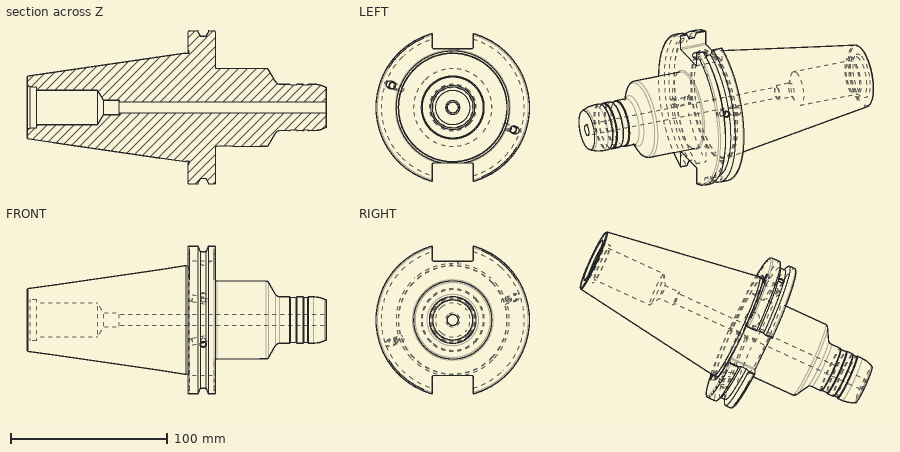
import math

import cadquery as cq


gauge_diameter = 69.85
taper_rate = 7 / 24
shank_length = 101.6
shank_end_chamfer = 0.6
shank_end_radius = (gauge_diameter - taper_rate * shank_length) / 2

relief_diameter = 69.25
recess_diameter = 73.6
recess_corner_radius = 0.6

flange_diameter = 98.425
flange_back = 1.3
flange_front = 19.05
flange_edge_fillet = 1.0
groove_center = 11.15
groove_top_width = 6.9
groove_floor_width = 3.6
groove_depth = 3.5

slot_width = 26.0
upper_slot_height = 37.7
lower_slot_height = 35.6
slot_corner_fillet = 0.7
slot_rim_chamfer = 0.43

dimple_diameter = 9.53
dimple_angle = 118

overall_length = 191.6
nose_end = overall_length - shank_length
body_diameter = 50.0
body_end = nose_end - 37.55
body_root_fillet = 0.8
body_edge_fillet = 2.0
shoulder_angle = 30
nose_root_fillet = 3.0
nose_diameter = 30.0
nose_curve_length = 8.4
nose_curve_end_radius = 13.35
nose_end_chamfer = 1.1
nose_end_radius = 12.75

ring_groove_diameter = 29.0
ring_grooves = [(23.5, 4.6), (14.9, 3.4)]

mouth_diameter = 28.2
mouth_depth = 2.0
counterbore_diameter = 26.2
counterbore_depth = 6.0
thread_bore_diameter = 21.97
thread_bore_depth = 45.0
bore_cone_angle = 118
cone_end_diameter = 9.0
through_diameter = 6.92
cone_end_length = 10.0

coolant_angle = 20
coolant_radius = 42.2
coolant_tilt = 30
coolant_mouth_diameter = 5.0
coolant_mouth_depth = 2.2
coolant_diameter = 4.2
coolant_depth = 14.0
groove_hole_diameter = 3.24
groove_hole_mouth_diameter = 4.13
groove_mouth_clearance = 1.0


def revolved(outline):
    """Turn an outline of (x, radius) points around the X axis."""
    return outline.close().revolve(360, (0, 0, 0), (1, 0, 0))


def circle_edge(part, x, radius):
    """Select the round edge of the given radius at x."""
    margin = 0.1
    low = (x - margin, -radius - margin, -radius - margin)
    high = (x + margin, radius + margin, radius + margin)
    return part.edges(cq.selectors.BoxSelector(low, high, boundingbox=True))


def make_blank():
    """Solid of revolution from the shank end to the nose end."""
    flange_radius = flange_diameter / 2
    nose_radius = nose_diameter / 2
    body_radius = body_diameter / 2
    shoulder_run = (body_radius - nose_radius) * math.tan(math.radians(shoulder_angle))
    recess_floor = flange_back + recess_corner_radius
    recess_radius = recess_diameter / 2
    outline = (
        cq.Workplane("XY")
        .moveTo(-shank_length, 0)
        .lineTo(-shank_length, shank_end_radius - shank_end_chamfer)
        .lineTo(-shank_length + shank_end_chamfer, shank_end_radius + taper_rate / 2 * shank_end_chamfer)
        .lineTo(0, gauge_diameter / 2)
        .lineTo(0, relief_diameter / 2)
        .lineTo(recess_floor, relief_diameter / 2)
        .lineTo(recess_floor, recess_radius - recess_corner_radius)
        .radiusArc((flange_back, recess_radius), recess_corner_radius)
        .lineTo(flange_back, flange_radius - flange_edge_fillet)
        .radiusArc((flange_back + flange_edge_fillet, flange_radius), flange_edge_fillet)
        .lineTo(groove_center - groove_top_width / 2, flange_radius)
        .lineTo(groove_center - groove_floor_width / 2, flange_radius - groove_depth)
        .lineTo(groove_center + groove_floor_width / 2, flange_radius - groove_depth)
        .lineTo(groove_center + groove_top_width / 2, flange_radius)
        .lineTo(flange_front - flange_edge_fillet, flange_radius)
        .radiusArc((flange_front, flange_radius - flange_edge_fillet), flange_edge_fillet)
        .lineTo(flange_front, body_radius + body_root_fillet)
        .radiusArc((flange_front + body_root_fillet, body_radius), -body_root_fillet)
        .lineTo(body_end, body_radius)
        .lineTo(body_end + shoulder_run, nose_radius)
        .lineTo(nose_end - nose_curve_length, nose_radius)
        .tangentArcPoint((nose_end - nose_end_chamfer, nose_curve_end_radius), relative=False)
        .lineTo(nose_end, nose_end_radius)
        .lineTo(nose_end, 0)
    )
    blank = revolved(outline)
    blank = circle_edge(blank, body_end, body_radius).fillet(body_edge_fillet)
    return circle_edge(blank, body_end + shoulder_run, nose_radius).fillet(nose_root_fillet)


def ring_groove(distance, width):
    """Ring groove with walls sloped at 45 degrees."""
    rear = nose_end - distance
    depth = (nose_diameter - ring_groove_diameter) / 2
    floor = ring_groove_diameter / 2
    outline = (
        cq.Workplane("XY")
        .moveTo(rear + depth, floor)
        .lineTo(rear + width - depth, floor)
        .lineTo(rear + width + depth, floor + 2 * depth)
        .lineTo(rear - depth, floor + 2 * depth)
    )
    return revolved(outline)


def make_bore():
    """Stepped bore through the whole length of the part."""
    cone_slope = math.tan(math.radians(bore_cone_angle / 2))
    cone_start = -shank_length + thread_bore_depth
    cone_end = cone_start + (thread_bore_diameter - cone_end_diameter) / 2 / cone_slope
    step = cone_end + cone_end_length
    outline = (
        cq.Workplane("XY")
        .moveTo(-shank_length, 0)
        .lineTo(-shank_length, mouth_diameter / 2)
        .lineTo(-shank_length + mouth_depth, counterbore_diameter / 2)
        .lineTo(-shank_length + counterbore_depth, counterbore_diameter / 2)
        .lineTo(-shank_length + counterbore_depth, thread_bore_diameter / 2)
        .lineTo(cone_start, thread_bore_diameter / 2)
        .lineTo(cone_end, cone_end_diameter / 2)
        .lineTo(step, cone_end_diameter / 2)
        .lineTo(step, through_diameter / 2)
        .lineTo(nose_end, through_diameter / 2)
        .lineTo(nose_end, 0)
    )
    return revolved(outline)


def drive_slot(floor_height):
    """Slot across the flange, flared at 45 degrees where its walls reach the rim."""
    half_width = slot_width / 2
    flared_half_width = half_width + slot_rim_chamfer
    rim_height = math.sqrt((flange_diameter / 2) ** 2 - flared_half_width**2)
    flare_start = rim_height - slot_rim_chamfer
    flare_rise = flange_diameter / 2 - flare_start
    profile = [
        (-half_width, floor_height),
        (half_width, floor_height),
        (half_width, flare_start),
        (half_width + flare_rise, flare_start + flare_rise),
        (-half_width - flare_rise, flare_start + flare_rise),
        (-half_width, flare_start),
    ]
    slot = cq.Workplane("YZ").polyline(profile).close().extrude(flange_front - flange_back)
    slot = slot.edges("|X and <Z").fillet(slot_corner_fillet)
    return slot.translate((flange_back, 0, 0))


def make_dimple():
    """Cone-shaped drill point in the upper slot floor."""
    radius = dimple_diameter / 2
    depth = radius / math.tan(math.radians(dimple_angle / 2))
    mouth = cq.Vector(groove_center, 0, upper_slot_height)
    return cq.Workplane(cq.Solid.makeCone(radius, 0, depth, mouth, cq.Vector(0, 0, -1)))


def drilled(start, direction, diameter, depth):
    return cq.Workplane(cq.Solid.makeCylinder(diameter / 2, depth, start, direction))


def rear_coolant_hole():
    """Stepped hole in the flange's rear face at +Y, tilted toward the axis."""
    tilt = math.radians(coolant_tilt)
    inward = cq.Vector(math.cos(tilt), -math.sin(tilt), 0)
    mouth = cq.Vector(flange_back, coolant_radius, 0)
    lead = coolant_mouth_diameter
    wide_part = drilled(mouth - inward * lead, inward, coolant_mouth_diameter, lead + coolant_mouth_depth)
    return wide_part.union(drilled(mouth, inward, coolant_diameter, coolant_depth))


def groove_coolant_hole():
    """Countersunk radial hole in the gripper groove at +Y, reaching the tilted hole's axis."""
    groove_floor = flange_diameter / 2 - groove_depth
    crossing_drop = (groove_center - flange_back) * math.tan(math.radians(coolant_tilt))
    depth = groove_floor - (coolant_radius - crossing_drop)
    mouth_radius = groove_hole_mouth_diameter / 2
    hole_radius = groove_hole_diameter / 2
    inward = cq.Vector(0, -1, 0)
    mouth = cq.Vector(groove_center, groove_floor, 0)
    above_mouth = mouth - inward * groove_mouth_clearance
    countersink = cq.Solid.makeCone(mouth_radius, hole_radius, mouth_radius - hole_radius, mouth, inward)
    return (
        drilled(mouth, inward, groove_hole_diameter, depth)
        .union(cq.Workplane(countersink))
        .union(drilled(above_mouth, inward, groove_hole_mouth_diameter, groove_mouth_clearance))
    )


def coolant_holes():
    """Both coolant holes of the +Y side, turned to their place around the axis."""
    holes = rear_coolant_hole().union(groove_coolant_hole())
    return holes.rotate((0, 0, 0), (1, 0, 0), coolant_angle)


def half_turn(shape):
    return shape.rotate((0, 0, 0), (1, 0, 0), 180)


result = make_blank().cut(make_bore())
for distance, width in ring_grooves:
    result = result.cut(ring_groove(distance, width))
result = result.cut(drive_slot(upper_slot_height))
result = result.cut(half_turn(drive_slot(lower_slot_height)))
result = result.cut(make_dimple())
result = result.cut(coolant_holes())
result = result.cut(half_turn(coolant_holes()))